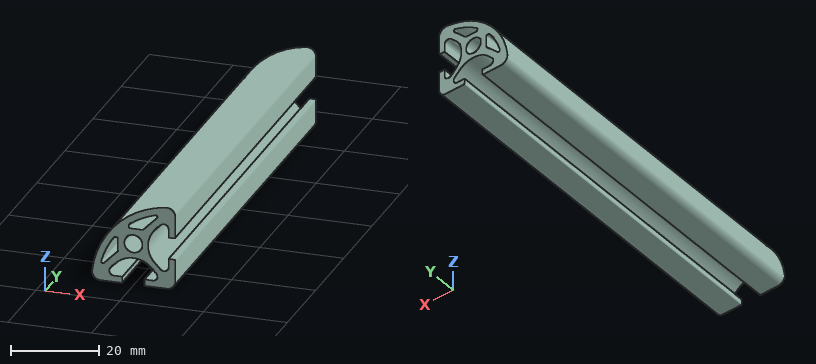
import cadquery as cq
import math

length = 100
half_side = 10
outer_radius = 2 * half_side
rim_radius = 2
corner_radius = 2
bore_diameter = 4.3

slot_opening = 5.2
lip_thickness = 1.6
slot_depth = 6.5
slot_flank_offset = 1.1
slot_end_radius = 1.1
lip_edge_radius = 0.3

chamber_wall_radius = 18.3
chamber_left = -1.1
chamber_floor = 3.7
chamber_flank_offset = 1.4
chamber_corner_radius = 0.4

diagonal = math.sqrt(0.5)


def section():
    """Workplane on the far end face; local X and Y are the part's X and Z, extruding toward -Y."""
    return cq.Workplane("XZ", origin=(0, length / 2, 0))


def mirrored_on_diagonal(body):
    """Mirror across the profile's symmetry plane, x = -z."""
    return body.mirror(cq.Vector(1, 0, 1), (0, 0, 0))


def make_quarter_round():
    return (
        section()
        .moveTo(half_side, -half_side)
        .lineTo(half_side, half_side)
        .threePointArc(
            (half_side - outer_radius * diagonal, -half_side + outer_radius * diagonal),
            (-half_side, -half_side),
        )
        .close()
        .extrude(length)
        .edges("|Y and (<X or >Z)")
        .fillet(rim_radius)
        .edges(cq.selectors.NearestToPointSelector((half_side, 0, -half_side)))
        .fillet(corner_radius)
    )


def make_slot():
    half_opening = slot_opening / 2
    lip_z = lip_thickness - half_side
    end_x = -lip_z - slot_flank_offset
    roof_z = slot_depth - half_side
    roof_radius = (-roof_z - slot_flank_offset) / (math.sqrt(2) - 1)
    touch_x = roof_radius * diagonal
    touch_z = -touch_x - slot_flank_offset
    slot = (
        section()
        .moveTo(-half_opening, -half_side)
        .lineTo(-half_opening, lip_z)
        .lineTo(-end_x, lip_z)
        .lineTo(-touch_x, touch_z)
        .threePointArc((0, roof_z), (touch_x, touch_z))
        .lineTo(end_x, lip_z)
        .lineTo(half_opening, lip_z)
        .lineTo(half_opening, -half_side)
        .close()
        .extrude(length)
    )
    return slot.edges("|Y and (<X or >X)").fillet(slot_end_radius)


def wall_point(x):
    """Point of the chamber's outer wall at the given x."""
    return (x, -half_side + math.sqrt(chamber_wall_radius**2 - (half_side - x) ** 2))


def make_chamber():
    half_flank = chamber_flank_offset / 2
    middle = half_side + half_flank
    tip_x = math.sqrt(chamber_wall_radius**2 / 2 - middle**2) - half_flank
    chamber = (
        section()
        .moveTo(chamber_left, chamber_floor)
        .lineTo(chamber_floor - chamber_flank_offset, chamber_floor)
        .lineTo(*wall_point(tip_x))
        .threePointArc(wall_point((tip_x + chamber_left) / 2), wall_point(chamber_left))
        .close()
        .extrude(length)
    )
    return chamber.edges("|Y").fillet(chamber_corner_radius)


slot = make_slot()
chamber = make_chamber()
bore = section().circle(bore_diameter / 2).extrude(length)

result = make_quarter_round().cut(bore)
for cavity in (slot, chamber):
    result = result.cut(cavity).cut(mirrored_on_diagonal(cavity))

lip_edges = [(side * slot_opening / 2, 0, -half_side) for side in (-1, 1)]
lip_edges += [(half_side, 0, side * slot_opening / 2) for side in (-1, 1)]
for point in lip_edges:
    result = result.edges(cq.selectors.NearestToPointSelector(point)).fillet(lip_edge_radius)